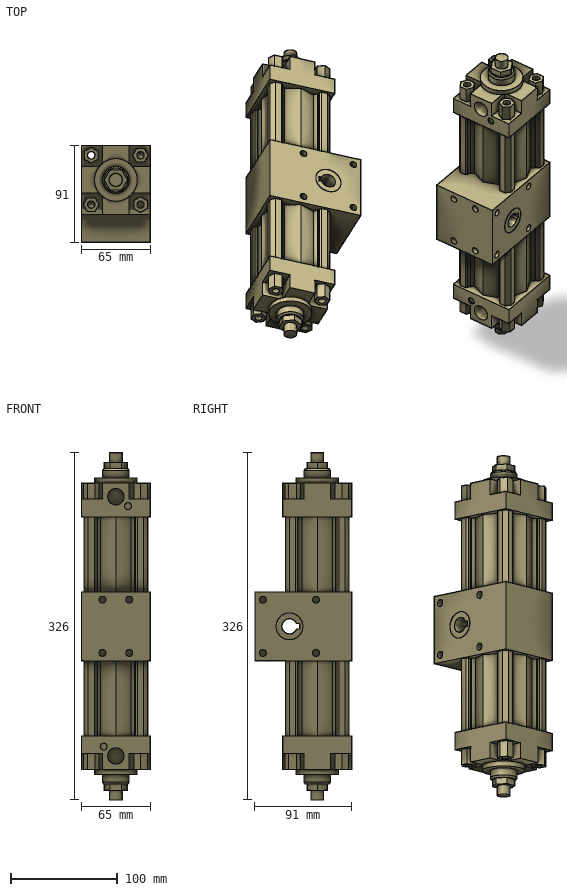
import cadquery as cq
import math


TOTAL_LENGTH = 326.0
WIDTH = 65.0
HALF_WIDTH = WIDTH / 2
BODY_DEPTH = 91.0
BODY_HEIGHT = WIDTH

STUD_DIAMETER = 12.0
STUD_LENGTH = 9.0
LOCK_NUT_FLATS = 19.0
LOCK_NUT_HEIGHT = 6.0
COLLAR_DIAMETER = 25.0
COLLAR_HEIGHT = 8.8
COLLAR_CHAMFER_HEIGHT = 2.0
COLLAR_CHAMFER_WIDTH = 1.3
FLANGE_DIAMETER = 40.0
FLANGE_HEIGHT = 5.0

HEAD_HEIGHT = 31.5
CORNER_NOTCH_DEPTH = 15.0
CORNER_NOTCH_START = 12.5
PORT_DIAMETER = 15.3
PORT_BELOW_FACE = 12.7
PORT_DEPTH = 19.5
VENT_DIAMETER = 6.5
VENT_BELOW_FACE = 21.5
VENT_OFFSET = 11.5
VENT_DEPTH = 1.5

TIE_ROD_OFFSET = 23.0
TIE_NUT_FLATS = 12.7
TIE_HOLE_DIAMETER = 7.0
TIE_HOLE_DEPTH = CORNER_NOTCH_DEPTH
DRILL_TIP_ANGLE = 118.0
HEX_TURN = 30
THROUGH_CORNER = (-1, 1)

BODY_HOLE_DIAMETER = 6.5
BODY_HOLE_DEPTH = 9.8
BODY_HOLE_SPACING = 50.0
FRONT_HOLE_SPACING = 25.0
SHAFT_Y = -26.0
SHAFT_DIAMETER = 25.0
SHAFT_RECESS = 0.3
BORE_DIAMETER = 14.0
KEYWAY_WIDTH = 5.0
KEYWAY_REACH = 9.5

TUBE_EIGHTH = [
    (0, 29.0),
    (14.5, 23.0),
    (17.3, 26.0),
    (18.5, 26.0),
    (18.5, 28.7),
    (20.2, 30.0),
    (26.0, 30.0),
]

TOP_Z = TOTAL_LENGTH / 2
SCREW_LENGTH = STUD_LENGTH + LOCK_NUT_HEIGHT + COLLAR_HEIGHT + FLANGE_HEIGHT
HEAD_FACE_Z = TOP_Z - SCREW_LENGTH
HEAD_BASE_Z = HEAD_FACE_Z - HEAD_HEIGHT
NOTCH_FLOOR_Z = HEAD_FACE_Z - CORNER_NOTCH_DEPTH
BODY_TOP_Z = BODY_HEIGHT / 2


def hex_prism(flats, height, turn=0):
    """Hexagonal prism standing on Z = 0, with points along X before turning."""
    across_points = flats / math.cos(math.pi / 6)
    prism = cq.Workplane("XY").polygon(6, across_points).extrude(height)
    return prism.rotate((0, 0, 0), (0, 0, 1), turn)


def cylinder(diameter, height, start, direction):
    """Round bar that begins at start and runs along direction."""
    return cq.Workplane(cq.Solid.makeCylinder(diameter / 2, height, cq.Vector(*start), cq.Vector(*direction)))


def tube_outline():
    """Mirror the eighth about the diagonal, then repeat the quarter four times."""
    quarter = TUBE_EIGHTH + [(y, x) for x, y in reversed(TUBE_EIGHTH[1:])]
    points = []
    for _ in range(4):
        points += quarter
        quarter = [(y, -x) for x, y in quarter]
    return points


def make_tube():
    return (
        cq.Workplane("XY")
        .workplane(offset=BODY_TOP_Z)
        .polyline(tube_outline())
        .close()
        .extrude(HEAD_BASE_Z - BODY_TOP_Z)
    )


def corner_signs():
    return [(sx, sy) for sx in (-1, 1) for sy in (-1, 1)]


def make_head():
    head = cq.Workplane("XY").box(WIDTH, WIDTH, HEAD_HEIGHT, centered=(True, True, False))
    head = head.translate((0, 0, HEAD_BASE_Z))
    notch_size = HALF_WIDTH - CORNER_NOTCH_START
    notch_middle = CORNER_NOTCH_START + notch_size / 2
    for sx, sy in corner_signs():
        notch = cq.Workplane("XY").box(notch_size, notch_size, CORNER_NOTCH_DEPTH, centered=(True, True, False))
        head = head.cut(notch.translate((sx * notch_middle, sy * notch_middle, NOTCH_FLOOR_Z)))
        turn = 0 if sx == sy else HEX_TURN
        nut = hex_prism(TIE_NUT_FLATS, CORNER_NOTCH_DEPTH, turn)
        head = head.union(nut.translate((sx * TIE_ROD_OFFSET, sy * TIE_ROD_OFFSET, NOTCH_FLOOR_Z)))
    return head


def make_screw():
    flange = cylinder(FLANGE_DIAMETER, FLANGE_HEIGHT, (0, 0, 0), (0, 0, 1))
    collar = flange.faces(">Z").workplane().circle(COLLAR_DIAMETER / 2).extrude(COLLAR_HEIGHT)
    collar = collar.faces(">Z").chamfer(COLLAR_CHAMFER_HEIGHT, COLLAR_CHAMFER_WIDTH)
    nut_base = FLANGE_HEIGHT + COLLAR_HEIGHT
    nut = hex_prism(LOCK_NUT_FLATS, LOCK_NUT_HEIGHT).translate((0, 0, nut_base))
    stud = cylinder(STUD_DIAMETER, STUD_LENGTH + LOCK_NUT_HEIGHT, (0, 0, nut_base), (0, 0, 1))
    return collar.union(nut).union(stud).translate((0, 0, HEAD_FACE_Z))


def drill_ports(half, vent_side):
    port = cylinder(PORT_DIAMETER, PORT_DEPTH, (0, -HALF_WIDTH, HEAD_FACE_Z - PORT_BELOW_FACE), (0, 1, 0))
    vent_start = (vent_side * VENT_OFFSET, -HALF_WIDTH, HEAD_FACE_Z - VENT_BELOW_FACE)
    vent = cylinder(VENT_DIAMETER, VENT_DEPTH, vent_start, (0, 1, 0))
    return half.cut(port).cut(vent)


def drill_tie_nuts(half):
    """Blind holes in three nuts; the two whose nuts point along X end in a drill tip."""
    radius = TIE_HOLE_DIAMETER / 2
    tip_height = radius / math.tan(math.radians(DRILL_TIP_ANGLE / 2))
    for sx, sy in corner_signs():
        if (sx, sy) == THROUGH_CORNER:
            continue
        x = sx * TIE_ROD_OFFSET
        y = sy * TIE_ROD_OFFSET
        half = half.cut(cylinder(TIE_HOLE_DIAMETER, TIE_HOLE_DEPTH, (x, y, HEAD_FACE_Z), (0, 0, -1)))
        if sx == sy:
            tip_start = cq.Vector(x, y, HEAD_FACE_Z - TIE_HOLE_DEPTH)
            tip = cq.Solid.makeCone(radius, 0, tip_height, tip_start, cq.Vector(0, 0, -1))
            half = half.cut(cq.Workplane(tip))
    return half


def make_half(vent_side):
    """Upper cylinder with its head; vent_side is the X sign of the vent beside the port."""
    half = make_tube().union(make_head()).union(make_screw())
    return drill_tie_nuts(drill_ports(half, vent_side))


def make_body():
    front_y = HALF_WIDTH - BODY_DEPTH
    body = cq.Workplane("XY").box(WIDTH, BODY_DEPTH, BODY_HEIGHT)
    body = body.translate((0, HALF_WIDTH - BODY_DEPTH / 2, 0))
    half_spacing = BODY_HOLE_SPACING / 2
    for s, sz in corner_signs():
        z = sz * half_spacing
        front_start = (s * FRONT_HOLE_SPACING / 2, front_y, z)
        body = body.cut(cylinder(BODY_HOLE_DIAMETER, BODY_HOLE_DEPTH, front_start, (0, 1, 0)))
        for side in (-1, 1):
            side_start = (side * HALF_WIDTH, SHAFT_Y + s * half_spacing, z)
            body = body.cut(cylinder(BODY_HOLE_DIAMETER, BODY_HOLE_DEPTH, side_start, (-side, 0, 0)))
    return body


def cut_shaft(body):
    """Hollow keyed shaft across the body, its ends set just below the side faces."""
    for side in (-1, 1):
        body = body.cut(cylinder(SHAFT_DIAMETER, SHAFT_RECESS, (side * HALF_WIDTH, SHAFT_Y, 0), (-side, 0, 0)))
    bore = cylinder(BORE_DIAMETER, WIDTH, (-HALF_WIDTH, SHAFT_Y, 0), (1, 0, 0))
    keyway = cq.Workplane("XY").box(WIDTH, KEYWAY_REACH, KEYWAY_WIDTH, centered=(True, False, True))
    return body.cut(bore).cut(keyway.translate((0, SHAFT_Y, 0)))


upper = make_half(vent_side=1)
lower = make_half(vent_side=-1).mirror("XY")
result = cut_shaft(make_body()).union(upper).union(lower)
through_x, through_y = (sign * TIE_ROD_OFFSET for sign in THROUGH_CORNER)
through_start = (through_x, through_y, -HEAD_FACE_Z)
result = result.cut(cylinder(TIE_HOLE_DIAMETER, 2 * HEAD_FACE_Z, through_start, (0, 0, 1)))